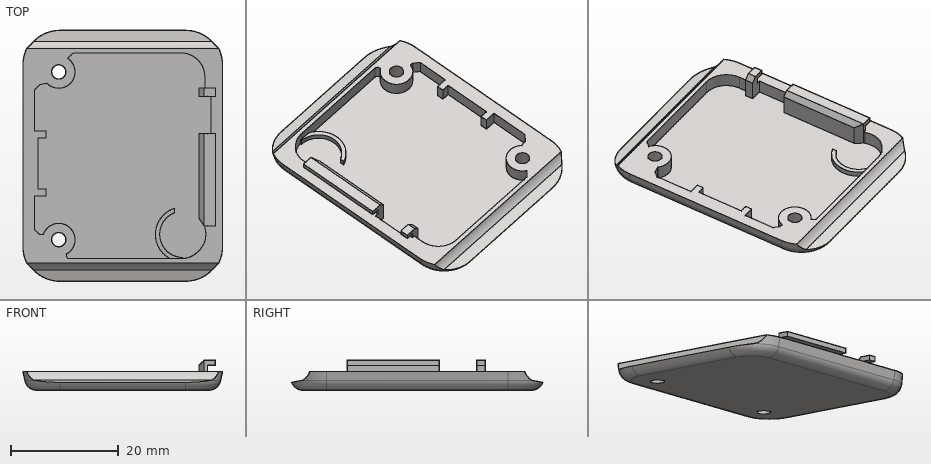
import cadquery as cq
import math

rim_z = 3.55
base_half_x = 17.75
base_half_y = 22.98
base_corner_radius = 6.15
flare_angle = 12
bottom_radius = 2.3

rim_half_y = 19.9
cove_foot_y = 21.15
cove_foot_z = 1.9
lip_end_y = 23.25
lip_end_z = 1.5
cove_mid_fraction = 0.42
clearance = 2.33

floor_z = 0.85
pocket_left = -16.35
pocket_right = 15.2
pocket_half_y = 19.05
pocket_radius = 4.4
pocket_depth = rim_z - floor_z

boss_x = -11.85
boss_y = 15.55
boss_radius = 3.0
screw_diameter = 2.6

upper_corner_wall = [(pocket_left, 12.2), (-15.4, 13.15), (-14.1, 13.45)]
upper_corner_end = [(-10.2, 18.1), (-9.15, pocket_half_y)]
lower_corner_start = (-9.8, -pocket_half_y)
lower_corner_mid = (-10.33, -18.85)
lower_corner_end = (-10.4, -18.35)
lower_corner_wall = [(-14.75, -14.6), (-15.4, -14.6), (pocket_left, -13.65)]

rib_tip_x = -14.25
left_pad_x = -15.7
upper_rib_top = 4.55
lower_rib_bottom = -7.5
rib_width = 1.3

hook_front_x = 14.1
hook_back_x = 15.7
hook_tip_x = 17.15
hook_top_z = 5.6
beak_under_z = 4.65
hook_chamfer_x = 0.98
small_hook_top = 12.6
small_hook_bottom = 11.0
long_hook_top = 4.1
long_hook_bottom = -12.98
long_hook_bevel_y = 1.45
wall_notch_x = 16.35

seat_x = 11.1
seat_y = -14.55
seat_radius = 4.3
ridge_radius = 5.05
ridge_end_x = 9.6
ridge_height = 1.0


def block(x_min, x_max, y_min, y_max, z_min, z_max):
    size = (x_max - x_min, y_max - y_min, z_max - z_min)
    return cq.Workplane("XY").box(*size, centered=False).translate((x_min, y_min, z_min))


def make_shell():
    outline = cq.Sketch().rect(2 * base_half_x, 2 * base_half_y).vertices().fillet(base_corner_radius)
    shell = cq.Workplane("XY").placeSketch(outline).extrude(rim_z, taper=-flare_angle)
    return shell.faces("<Z").edges().fillet(bottom_radius)


def make_end_step():
    drop = rim_z - cove_foot_z
    cove_mid = (
        rim_half_y + cove_mid_fraction * (cove_foot_y - rim_half_y),
        cove_foot_z + cove_mid_fraction * drop,
    )
    lip_slope = (cove_foot_z - lip_end_z) / (lip_end_y - cove_foot_y)
    outer_y = lip_end_y + clearance
    return (
        cq.Workplane("YZ")
        .moveTo(rim_half_y, rim_z + clearance)
        .lineTo(rim_half_y, rim_z)
        .threePointArc(cove_mid, (cove_foot_y, cove_foot_z))
        .lineTo(outer_y, lip_end_z - lip_slope * clearance)
        .lineTo(outer_y, rim_z + clearance)
        .close()
        .extrude(base_half_x + clearance, both=True)
    )


def make_pocket():
    arc_x = pocket_right - pocket_radius
    arc_y = pocket_half_y - pocket_radius
    diagonal = pocket_radius * math.sqrt(0.5)
    pocket = (
        cq.Workplane("XY", origin=(0, 0, floor_z))
        .moveTo(*upper_corner_end[1])
        .lineTo(arc_x, pocket_half_y)
        .threePointArc((arc_x + diagonal, arc_y + diagonal), (pocket_right, arc_y))
        .lineTo(pocket_right, -arc_y)
        .threePointArc((arc_x + diagonal, -arc_y - diagonal), (arc_x, -pocket_half_y))
        .lineTo(*lower_corner_start)
        .threePointArc(lower_corner_mid, lower_corner_end)
        .lineTo(boss_x, -boss_y)
        .polyline(lower_corner_wall + upper_corner_wall, includeCurrent=True)
        .lineTo(boss_x, boss_y)
        .lineTo(*upper_corner_end[0])
        .close()
        .extrude(pocket_depth)
    )
    notch = block(hook_front_x, wall_notch_x, long_hook_top, small_hook_bottom, floor_z, rim_z)
    seat = (
        cq.Workplane("XY", origin=(seat_x, seat_y, floor_z))
        .circle(seat_radius)
        .extrude(pocket_depth)
    )
    bosses = (
        cq.Workplane("XY", origin=(0, 0, floor_z))
        .pushPoints([(boss_x, boss_y), (boss_x, -boss_y)])
        .circle(boss_radius)
        .extrude(pocket_depth)
    )
    return pocket.union(notch).union(seat).cut(bosses)


def make_left_wall_ribs():
    pad = block(pocket_left, left_pad_x, lower_rib_bottom, upper_rib_top, floor_z, rim_z)
    for rib_bottom in (upper_rib_top - rib_width, lower_rib_bottom):
        rib_top = rib_bottom + rib_width
        pad = pad.union(block(pocket_left, rib_tip_x, rib_bottom, rib_top, floor_z, rim_z))
    return pad


def make_hook(y_min, y_max):
    return (
        cq.Workplane("XZ", origin=(0, y_max, 0))
        .moveTo(hook_front_x, floor_z)
        .lineTo(hook_front_x, beak_under_z)
        .lineTo(hook_front_x + hook_chamfer_x, hook_top_z)
        .lineTo(hook_tip_x, hook_top_z)
        .lineTo(hook_tip_x, beak_under_z)
        .lineTo(hook_back_x, beak_under_z)
        .lineTo(hook_back_x, floor_z)
        .close()
        .extrude(y_max - y_min)
    )


def make_long_hook():
    bevel = (
        cq.Workplane("XY")
        .moveTo(hook_front_x, long_hook_bottom)
        .lineTo(hook_front_x + hook_chamfer_x, long_hook_bottom)
        .lineTo(hook_front_x, long_hook_bottom + long_hook_bevel_y)
        .close()
        .extrude(hook_top_z)
    )
    return make_hook(long_hook_bottom, long_hook_top).cut(bevel)


def make_ridge():
    ring = (
        cq.Workplane("XY", origin=(seat_x, seat_y, floor_z))
        .circle(ridge_radius)
        .circle(seat_radius)
        .extrude(ridge_height)
    )
    left_part = block(
        seat_x - ridge_radius, ridge_end_x,
        seat_y - ridge_radius, seat_y + ridge_radius,
        floor_z, floor_z + ridge_height,
    )
    lower_part = block(
        ridge_end_x, seat_x,
        -pocket_half_y, seat_y,
        floor_z, floor_z + ridge_height,
    )
    return ring.intersect(left_part.union(lower_part))


end_step = make_end_step()
screw_holes = (
    cq.Workplane("XY")
    .pushPoints([(boss_x, boss_y), (boss_x, -boss_y)])
    .circle(screw_diameter / 2)
    .extrude(rim_z)
)

result = (
    make_shell()
    .cut(end_step)
    .cut(end_step.mirror("XZ"))
    .cut(make_pocket())
    .union(make_left_wall_ribs())
    .union(make_hook(small_hook_bottom, small_hook_top))
    .union(make_long_hook())
    .union(make_ridge())
    .cut(screw_holes)
)